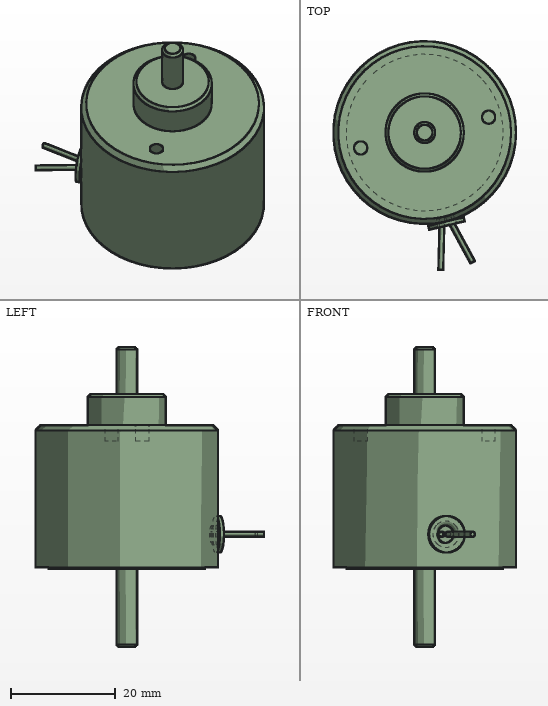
import cadquery as cq
import math

body_diameter = 35.0
body_height = 27.2
body_chamfer = 1.0

boss_diameter = 15.0
boss_height = 6.0
boss_chamfer = 0.6
plate_diameter = 30.0
plate_thickness = 0.3

shaft_diameter = 4.0
shaft_above_boss = 9.0
shaft_below_plate = 15.0
shaft_chamfer = 0.5

turn_angle = 13.5

mount_hole_diameter = 2.55
mount_hole_depth = 3.0
mount_hole_radius = 12.6

grommet_diameter = 7.0
grommet_bore = 3.35
grommet_thickness = 0.8
grommet_mouth_radius = 0.8
grommet_bore_depth = 1.6
grommet_neck_diameter = 5.05
grommet_height = 6.3

wire_diameter = 1.0
wire_length = 12.15
wire_start_distance = 14.55
wire_spread = 15

body_radius = body_diameter / 2
boss_top = body_height + boss_height


def cylinder(diameter, bottom, height):
    """Vertical cylinder centred on the shaft axis."""
    return cq.Workplane("XY").workplane(offset=bottom).circle(diameter / 2).extrude(height)


def outward_plane(distance, spread=0):
    """Plane facing out of the grommet, swung sideways by the spread angle in degrees."""
    axis_angle = math.radians(turn_angle)
    normal_angle = math.radians(turn_angle + spread)
    origin = (distance * math.sin(axis_angle), -distance * math.cos(axis_angle), grommet_height)
    normal = (math.sin(normal_angle), -math.cos(normal_angle), 0)
    return cq.Plane(origin=origin, xDir=(0, 0, 1), normal=normal)


def make_housing():
    body = cylinder(body_diameter, 0, body_height).faces(">Z").chamfer(body_chamfer)
    boss = cylinder(boss_diameter, body_height, boss_height).faces(">Z").chamfer(boss_chamfer)
    plate = cylinder(plate_diameter, -plate_thickness, plate_thickness)
    return body.union(boss).union(plate)


def make_shaft():
    bottom = -plate_thickness - shaft_below_plate
    height = boss_top + shaft_above_boss - bottom
    return cylinder(shaft_diameter, bottom, height).faces("<Z or >Z").chamfer(shaft_chamfer)


def make_mounting_holes():
    return (
        cq.Workplane("XY", origin=(0, 0, body_height))
        .polarArray(mount_hole_radius, turn_angle, 360, 2)
        .circle(mount_hole_diameter / 2)
        .extrude(-mount_hole_depth)
    )


def make_grommet_collar():
    """Flange touching the wall, on a neck sunk into the wall as deep as the bore."""
    flange = (
        cq.Workplane(outward_plane(body_radius))
        .circle(grommet_diameter / 2)
        .extrude(grommet_thickness)
    )
    neck = (
        cq.Workplane(outward_plane(body_radius + grommet_thickness))
        .circle(grommet_neck_diameter / 2)
        .extrude(-grommet_bore_depth)
    )
    return flange.union(neck)


def make_grommet_bore():
    """Blind bore whose mouth flares out along a quarter circle."""
    bore_radius = grommet_bore / 2
    flare_center = bore_radius + grommet_mouth_radius
    arc_offset = grommet_mouth_radius * math.sqrt(0.5)
    outer_face = outward_plane(body_radius + grommet_thickness)
    section = cq.Plane(origin=outer_face.origin, xDir=outer_face.xDir, normal=outer_face.yDir * -1)
    return (
        cq.Workplane(section)
        .moveTo(0, -grommet_bore_depth)
        .lineTo(bore_radius, -grommet_bore_depth)
        .lineTo(bore_radius, -grommet_mouth_radius)
        .threePointArc(
            (flare_center - arc_offset, arc_offset - grommet_mouth_radius),
            (flare_center, 0),
        )
        .lineTo(0, 0)
        .close()
        .revolve(360, (0, 0, 0), (0, 1, 0))
    )


def make_wire(spread):
    return (
        cq.Workplane(outward_plane(wire_start_distance, spread))
        .circle(wire_diameter / 2)
        .extrude(wire_length)
    )


result = make_housing().union(make_shaft()).cut(make_mounting_holes())
result = result.union(make_grommet_collar()).cut(make_grommet_bore())
for side in (-1, 1):
    result = result.union(make_wire(side * wire_spread))